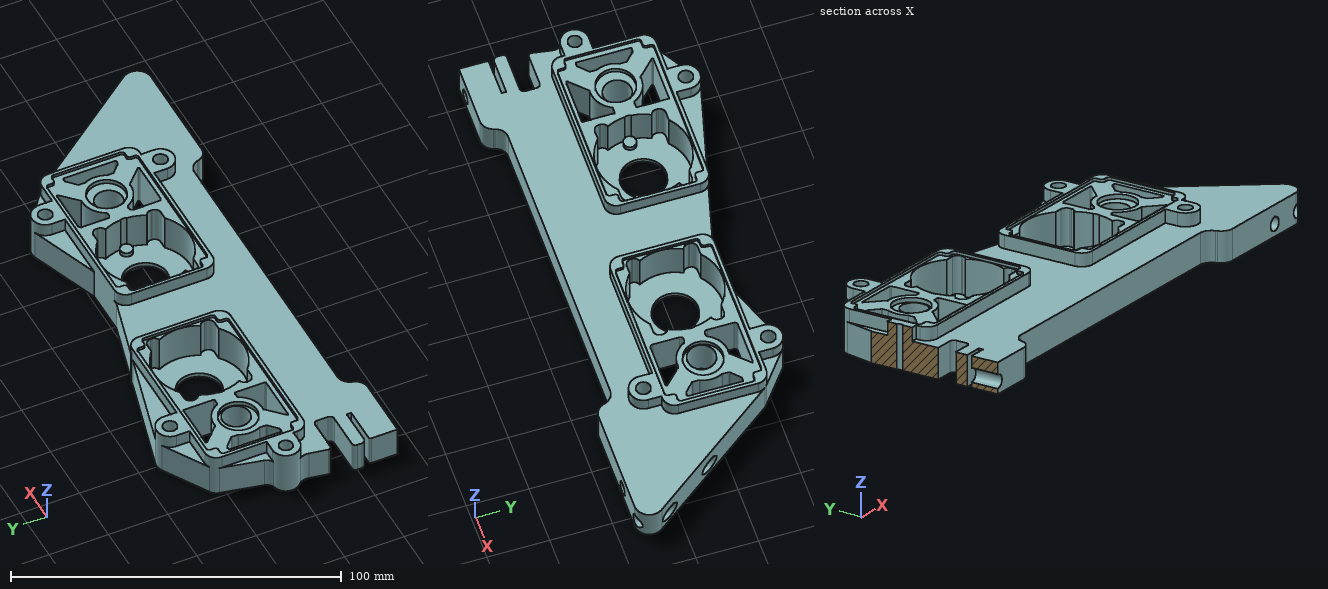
import cadquery as cq
import math


TOTAL_HEIGHT = 15.0
PLATE_THICKNESS = 10.5
RECESS_DEPTH = 1.0
RECESS_FLOOR_Z = TOTAL_HEIGHT - RECESS_DEPTH
POCKET_FLOOR_Z = 1.5
PIN_HEIGHT = 1.5
COUNTERBORE_DEPTH = 1.5

PLATE_LENGTH = 175.61
PLATE_DEPTH = 67.89
FOOT_HEIGHT = 6.35
FOOT_BLEND_RADIUS = 4.16
LEFT_FOOT_BLEND = (21.2, 29.3)
RIGHT_FOOT_BLEND = (136.1, 128.0)
TIP_RADIUS = 4.7
BACK_NOTCH_X = (87.0, 102.3)

TAB_X = 0.7
TAB_CORNER_RADIUS = 0.6
THIN_SLOT_Y = (9.5, 11.0)
THIN_SLOT_END_X = 13.3
WIDE_SLOT_Y = (15.2, 21.55)
WIDE_SLOT_END_X = 14.8
WIDE_SLOT_CORNER_RADIUS = 1.4
FINGER_FRONT_RADIUS = 1.5
FINGER_BACK_RADIUS = 1.2
SHOULDER_X = 2.0
SHOULDER_RADIUS = 1.0

EDGE_HOLE_DIAMETER = 4.57
EDGE_HOLE_Z = 4.2
EDGE_HOLE_PITCH = 12.7
TAB_HOLE_X = 7.0
FIRST_TIP_HOLE_X = TAB_HOLE_X + 12 * EDGE_HOLE_PITCH
SECOND_TIP_HOLE_X = FIRST_TIP_HOLE_X + EDGE_HOLE_PITCH

LEFT_MOTOR = (50.7, 42.4)
RIGHT_MOTOR = (LEFT_MOTOR[0] + 50.2, LEFT_MOTOR[1] - 6.35)
HOUSING_INNER = -16.2
HOUSING_OUTER = 41.6
HOUSING_LENGTH = HOUSING_OUTER - HOUSING_INNER
HOUSING_MIDDLE = (HOUSING_OUTER + HOUSING_INNER) / 2
HOUSING_WIDTH = 33.1
HOUSING_CORNER_RADIUS = 3.8
RIM_WALL = 1.15
CORNER_PAD = 4.3
CORNER_PAD_RADIUS = 1.0

MOTOR_HOLE_DIAMETER = 14.5
POCKET_RADIUS = 15.0
POCKET_EAR_REACH = 14.7
POCKET_EAR_Y = (6.9, 11.3)
POCKET_EAR_RADIUS = 2.0
PIN_X = 13.2
PIN_DIAMETER = 4.1

SHAFT_HOLE_X = 25.4
SHAFT_HOLE_DIAMETER = 9.04
COUNTERBORE_X = 26.9
COUNTERBORE_DIAMETER = 12.5
BOSS_RADIUS = 8.15

WINDOW_INNER_X = 17.3
WINDOW_TIP_X = 33.4
WINDOW_LOW_Y = 3.4
WINDOW_HIGH_Y = 13.9
END_WINDOW_X = (32.0, 38.75)
END_WINDOW_HALF = 8.9
END_WINDOW_FLAT = 1.4
END_WINDOW_INNER_HALF = 5.9
END_WINDOW_SLOPE_X = 34.2
LEFT_WINDOW_FILLET = 0.3
WINDOW_TIP_FILLET = 0.3
RIGHT_WINDOW_FILLET = 1.0

LUG_REACH = 5.0
LUG_RADIUS = 4.52
LUG_HOLE_DIAMETER = 4.57
SIDE_LUG_HOLE_DIAMETER = 4.37
SIDE_LUG = (5.1, 35.5)
LEFT_TOP_LUG = (27.95, PLATE_DEPTH - LUG_RADIUS)
RIGHT_TOP_LUG = (127.05, 57.05)
RIGHT_FRONT_LUG = (133.35, 15.2)

NECK_BLEND_RADIUS = 4.0
NECK_BLEND_ANGLE = 225
SIDE_EDGE_BLEND_RADIUS = 3.2
SIDE_EDGE_BLEND_ANGLE = 105
BLEND_OVERLAP = 0.1
SIDE_LUG_CORE_RADIUS = LUG_RADIUS - BLEND_OVERLAP
BLEND_GAP = 0.02


def belt_normal(first, second):
    """Angle of the outward normal of the line tangent to two corner circles."""
    dx = second[0] - first[0]
    dy = second[1] - first[1]
    return math.atan2(dy, dx) + math.acos((first[2] - second[2]) / math.hypot(dx, dy))


def on_circle(corner, angle):
    return (corner[0] + corner[2] * math.cos(angle), corner[1] + corner[2] * math.sin(angle))


def belt_outline(corners):
    """Clockwise outline around (x, y, radius) corners: positive is convex, negative concave, 0 sharp."""
    count = len(corners)
    normals = [belt_normal(corners[i], corners[(i + 1) % count]) for i in range(count)]
    outline = cq.Workplane("XY").moveTo(*on_circle(corners[0], normals[0]))
    for i in range(1, count + 1):
        corner = corners[i % count]
        before = normals[i - 1]
        after = normals[i % count]
        outline = outline.lineTo(*on_circle(corner, before))
        if corner[2] != 0:
            turn = math.remainder(after - before, 2 * math.pi)
            middle = on_circle(corner, before + turn / 2)
            outline = outline.threePointArc(middle, on_circle(corner, after))
    return outline.close()


def blend_corners(blend_x):
    """Convex and concave corner of the step between a foot and the middle of the plate."""
    foot = (blend_x[0], FOOT_BLEND_RADIUS, FOOT_BLEND_RADIUS)
    middle = (blend_x[1], FOOT_HEIGHT - FOOT_BLEND_RADIUS, -FOOT_BLEND_RADIUS)
    return foot, middle


def side_lug_blend(radius, angle):
    """Concave corner that meets the side lug at an angle given in degrees."""
    reach = SIDE_LUG_CORE_RADIUS + radius + BLEND_GAP
    turn = math.radians(angle)
    return (SIDE_LUG[0] + reach * math.cos(turn), SIDE_LUG[1] + reach * math.sin(turn), -radius)


def make_plate():
    """Flat plate with its full outline, listed clockwise from the front left corner."""
    half = HOUSING_WIDTH / 2
    corner_y = half - HOUSING_CORNER_RADIUS
    corner_x = HOUSING_OUTER - HOUSING_CORNER_RADIUS
    right_housing_back = RIGHT_MOTOR[1] + half
    slot_corner_x = WIDE_SLOT_END_X - WIDE_SLOT_CORNER_RADIUS
    left_foot, left_middle = blend_corners(LEFT_FOOT_BLEND)
    right_foot, right_middle = blend_corners(RIGHT_FOOT_BLEND)
    corners = [
        (TAB_X, 0, 0),
        (TAB_X + TAB_CORNER_RADIUS, THIN_SLOT_Y[0] - TAB_CORNER_RADIUS, TAB_CORNER_RADIUS),
        (THIN_SLOT_END_X, THIN_SLOT_Y[0], 0),
        (THIN_SLOT_END_X, THIN_SLOT_Y[1], 0),
        (FINGER_FRONT_RADIUS, THIN_SLOT_Y[1] + FINGER_FRONT_RADIUS, FINGER_FRONT_RADIUS),
        (FINGER_BACK_RADIUS, WIDE_SLOT_Y[0] - FINGER_BACK_RADIUS, FINGER_BACK_RADIUS),
        (slot_corner_x, WIDE_SLOT_Y[0] + WIDE_SLOT_CORNER_RADIUS, -WIDE_SLOT_CORNER_RADIUS),
        (slot_corner_x, WIDE_SLOT_Y[1] - WIDE_SLOT_CORNER_RADIUS, -WIDE_SLOT_CORNER_RADIUS),
        (SHOULDER_X + SHOULDER_RADIUS, WIDE_SLOT_Y[1] + SHOULDER_RADIUS, SHOULDER_RADIUS),
        side_lug_blend(NECK_BLEND_RADIUS, NECK_BLEND_ANGLE),
        (*SIDE_LUG, SIDE_LUG_CORE_RADIUS),
        side_lug_blend(SIDE_EDGE_BLEND_RADIUS, SIDE_EDGE_BLEND_ANGLE),
        (LEFT_MOTOR[0] - corner_x, LEFT_MOTOR[1] + corner_y, HOUSING_CORNER_RADIUS),
        (*LEFT_TOP_LUG, LUG_RADIUS),
        (BACK_NOTCH_X[0], right_housing_back, 0),
        (BACK_NOTCH_X[1], right_housing_back, 0),
        (*RIGHT_TOP_LUG, LUG_RADIUS),
        (RIGHT_MOTOR[0] + corner_x, RIGHT_MOTOR[1] + corner_y, HOUSING_CORNER_RADIUS),
        (PLATE_LENGTH - TIP_RADIUS, TIP_RADIUS, TIP_RADIUS),
        right_foot,
        right_middle,
        left_middle,
        left_foot,
    ]
    return belt_outline(corners).extrude(PLATE_THICKNESS)


def block(x_range, y_range, z_range):
    size = [r[1] - r[0] for r in (x_range, y_range, z_range)]
    return cq.Workplane("XY").box(*size, centered=False).translate((x_range[0], y_range[0], z_range[0]))


def cylinder(x, y, diameter, z_range):
    height = z_range[1] - z_range[0]
    return cq.Workplane("XY", origin=(x, y, z_range[0])).circle(diameter / 2).extrude(height)


def housing_body():
    body = cq.Workplane("XY").box(HOUSING_LENGTH, HOUSING_WIDTH, TOTAL_HEIGHT, centered=(True, True, False))
    return body.edges("|Z").fillet(HOUSING_CORNER_RADIUS).translate((HOUSING_MIDDLE, 0, 0))


def rim_recess():
    """Shallow recess inside the rim, with its corners left standing as square pads."""
    length = HOUSING_LENGTH - 2 * RIM_WALL
    width = HOUSING_WIDTH - 2 * RIM_WALL
    sketch = cq.Workplane("XY", origin=(HOUSING_MIDDLE, 0, RECESS_FLOOR_Z))
    long_bar = sketch.rect(length, HOUSING_WIDTH - 2 * CORNER_PAD).extrude(RECESS_DEPTH)
    wide_bar = sketch.rect(HOUSING_LENGTH - 2 * CORNER_PAD, width).extrude(RECESS_DEPTH)
    return long_bar.union(wide_bar).edges("|Z").fillet(CORNER_PAD_RADIUS)


def motor_pocket():
    """Round pocket with four ears, a low pin left on its floor and a niche in the wall above the pin."""
    pin_top_z = POCKET_FLOOR_Z + PIN_HEIGHT
    round_pocket = cylinder(0, 0, 2 * POCKET_RADIUS, (POCKET_FLOOR_Z, RECESS_FLOOR_Z))
    ear_height = POCKET_EAR_Y[1] - POCKET_EAR_Y[0]
    ear_y = sum(POCKET_EAR_Y) / 2
    ears = (
        cq.Workplane("XY", origin=(0, 0, POCKET_FLOOR_Z))
        .pushPoints([(0, ear_y), (0, -ear_y)])
        .rect(2 * POCKET_EAR_REACH, ear_height)
        .extrude(RECESS_FLOOR_Z - POCKET_FLOOR_Z)
        .edges("|Z")
        .fillet(POCKET_EAR_RADIUS)
    )
    pin_niche = cylinder(PIN_X, 0, PIN_DIAMETER, (pin_top_z, RECESS_FLOOR_Z))
    pin = cylinder(PIN_X, 0, PIN_DIAMETER, (POCKET_FLOOR_Z, pin_top_z))
    motor_hole = cylinder(0, 0, MOTOR_HOLE_DIAMETER, (0, TOTAL_HEIGHT))
    return round_pocket.union(ears).cut(pin).union(pin_niche).union(motor_hole)


def windows(inner_fillet):
    """Three through windows leaving a round boss held by three spokes."""
    spoke_rise = WINDOW_TIP_X - COUNTERBORE_X
    side = cq.Workplane("XY").polyline([
        (WINDOW_INNER_X, WINDOW_LOW_Y),
        (COUNTERBORE_X, WINDOW_LOW_Y),
        (COUNTERBORE_X, WINDOW_HIGH_Y - spoke_rise),
        (WINDOW_TIP_X, WINDOW_HIGH_Y),
        (WINDOW_INNER_X, WINDOW_HIGH_Y),
    ]).close().extrude(TOTAL_HEIGHT)
    end_slope_x = END_WINDOW_X[1] - END_WINDOW_FLAT
    end = cq.Workplane("XY").polyline([
        (END_WINDOW_X[1], END_WINDOW_HALF),
        (end_slope_x, END_WINDOW_HALF),
        (END_WINDOW_SLOPE_X, END_WINDOW_INNER_HALF),
        (END_WINDOW_SLOPE_X, -END_WINDOW_INNER_HALF),
        (end_slope_x, -END_WINDOW_HALF),
        (END_WINDOW_X[1], -END_WINDOW_HALF),
    ]).close().extrude(TOTAL_HEIGHT)
    boss = cylinder(COUNTERBORE_X, 0, 2 * BOSS_RADIUS, (0, TOTAL_HEIGHT))
    side = side.cut(boss).edges("|Z and >X").fillet(WINDOW_TIP_FILLET)
    near_pocket = cq.selectors.BoxSelector(
        (0, 0, 0), (COUNTERBORE_X - BOSS_RADIUS / 2, HOUSING_WIDTH / 2, TOTAL_HEIGHT)
    )
    side = side.edges("|Z").edges(near_pocket).fillet(inner_fillet)
    end = end.cut(boss).edges("|Z").fillet(WINDOW_TIP_FILLET)
    return side.union(side.mirror("XZ")).union(end)


def shaft_hole():
    bore = cylinder(SHAFT_HOLE_X, 0, SHAFT_HOLE_DIAMETER, (0, TOTAL_HEIGHT))
    seat_z = (RECESS_FLOOR_Z - COUNTERBORE_DEPTH, RECESS_FLOOR_Z)
    return bore.union(cylinder(COUNTERBORE_X, 0, COUNTERBORE_DIAMETER, seat_z))


def housing_cavities(window_fillet):
    return rim_recess().union(motor_pocket()).union(windows(window_fillet)).union(shaft_hole())


def place_left(shape):
    return shape.mirror("YZ").translate((*LEFT_MOTOR, 0))


def place_right(shape):
    return shape.translate((*RIGHT_MOTOR, 0))


def lug(center, neck_x, neck_y):
    """Full-height round lug with a straight neck, spanning offsets from its centre, into its housing wall."""
    z_range = (0, TOTAL_HEIGHT)
    x_range = (center[0] + neck_x[0], center[0] + neck_x[1])
    y_range = (center[1] + neck_y[0], center[1] + neck_y[1])
    return cylinder(*center, 2 * LUG_RADIUS, z_range).union(block(x_range, y_range, z_range))


def edge_hole(x, depth):
    plane = cq.Workplane("XZ", origin=(x, 0, EDGE_HOLE_Z))
    return plane.circle(EDGE_HOLE_DIAMETER / 2).extrude(-depth)


NECK_ACROSS = (-LUG_RADIUS, LUG_RADIUS)
NECK_FORWARD = (0, LUG_REACH)
NECK_BACKWARD = (-LUG_REACH, 0)

LUGS = [
    (SIDE_LUG, NECK_FORWARD, NECK_ACROSS, SIDE_LUG_HOLE_DIAMETER),
    (LEFT_TOP_LUG, NECK_ACROSS, NECK_BACKWARD, LUG_HOLE_DIAMETER),
    (RIGHT_TOP_LUG, NECK_ACROSS, NECK_BACKWARD, LUG_HOLE_DIAMETER),
    (RIGHT_FRONT_LUG, NECK_ACROSS, NECK_FORWARD, LUG_HOLE_DIAMETER),
]

result = make_plate()
result = result.union(place_left(housing_body())).union(place_right(housing_body()))
for center, neck_x, neck_y, _ in LUGS:
    result = result.union(lug(center, neck_x, neck_y))
result = result.cut(place_left(housing_cavities(LEFT_WINDOW_FILLET)))
result = result.cut(place_right(housing_cavities(RIGHT_WINDOW_FILLET)))
for center, _, _, diameter in LUGS:
    result = result.cut(cylinder(*center, diameter, (0, TOTAL_HEIGHT)))
result = result.cut(edge_hole(TAB_HOLE_X, THIN_SLOT_Y[0]))
for hole_x in (FIRST_TIP_HOLE_X, SECOND_TIP_HOLE_X):
    result = result.cut(edge_hole(hole_x, PLATE_DEPTH))